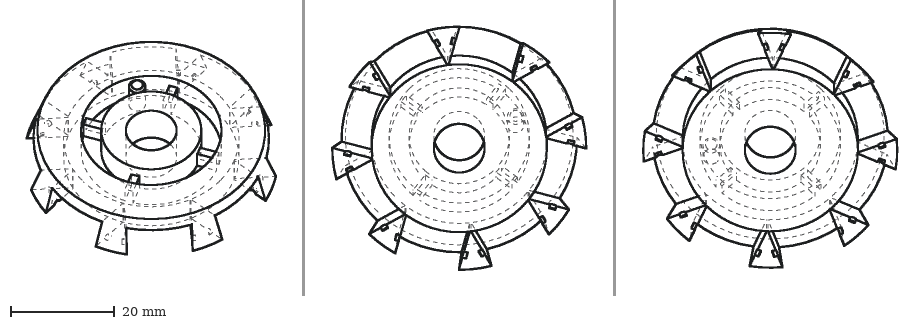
import cadquery as cq
import math

height = 8.32
base_radius = 49.0 / 2
top_radius = 21.95

tooth_count = 8
notch_top = 5.83
notch_width = 12.7
notch_phase = 180 / tooth_count
core_radius = 16.9

bore_diameter = 9.78
hub_diameter = 19.3
recess_diameter = 27.05
recess_floor = 2.26

spoke_count = 4
spoke_width = 1.65
spoke_top = notch_top

pin_diameter = 3.15
pin_chamfer = 0.47
pin_angle = 122.0
pin_circle_radius = (hub_diameter + recess_diameter) / 4

socket_distance = 20.47
socket_radius = 0.62
socket_depth = 0.75


def repeat_around(shape, count, first_angle=0.0):
    """Join equally spaced copies of a shape about the Z axis."""
    copies = cq.Workplane("XY")
    for index in range(count):
        angle = first_angle + index * 360 / count
        copies = copies.add(shape.rotate((0, 0, 0), (0, 0, 1), angle))
    return copies.combine()


def make_body():
    """Tapered disc."""
    profile = [(0, 0), (base_radius, 0), (top_radius, height), (0, height)]
    return cq.Workplane("XZ").polyline(profile).close().revolve(360, (0, 0), (0, 1))


def make_notches():
    """Parallel-sided cuts between the teeth, all stopping at the round core."""
    bar = cq.Workplane("XY").box(base_radius, notch_width, notch_top, centered=(False, True, False))
    core = cq.Workplane("XY").circle(core_radius).extrude(notch_top)
    return repeat_around(bar, tooth_count, notch_phase).cut(core)


def make_ring(outer_diameter, inner_diameter, bottom, top):
    """Flat ring between two heights."""
    plane = cq.Workplane("XY").workplane(offset=bottom)
    return plane.circle(outer_diameter / 2).circle(inner_diameter / 2).extrude(top - bottom)


def make_spokes():
    """Radial bars rising from the recess floor, trimmed to the recess ring."""
    spoke_height = spoke_top - recess_floor
    blank = cq.Workplane("XY").workplane(offset=recess_floor)
    bar = blank.box(recess_diameter / 2, spoke_width, spoke_height, centered=(False, True, False))
    ring = make_ring(recess_diameter, hub_diameter, recess_floor, spoke_top)
    return repeat_around(bar, spoke_count).intersect(ring)


def make_pin():
    """Round pin with a chamfered tip, flush with the top face."""
    angle = math.radians(pin_angle)
    x = pin_circle_radius * math.cos(angle)
    y = pin_circle_radius * math.sin(angle)
    pin = cq.Workplane("XY").workplane(offset=recess_floor).center(x, y).circle(pin_diameter / 2)
    return pin.extrude(height - recess_floor).faces(">Z").chamfer(pin_chamfer)


def make_sockets():
    """Cylinders lying across each notch in the base plane, reaching into both of its walls."""
    length = notch_width + 2 * socket_depth
    section = cq.Workplane("XZ").center(socket_distance, 0).circle(socket_radius)
    cylinder = section.extrude(length / 2, both=True)
    return repeat_around(cylinder, tooth_count, notch_phase)


body = make_body().cut(make_notches())
body = body.cut(make_ring(recess_diameter, hub_diameter, recess_floor, height))
body = body.union(make_spokes()).union(make_pin())
body = body.cut(make_sockets())
bore = cq.Workplane("XY").circle(bore_diameter / 2).extrude(height)
result = body.cut(bore)